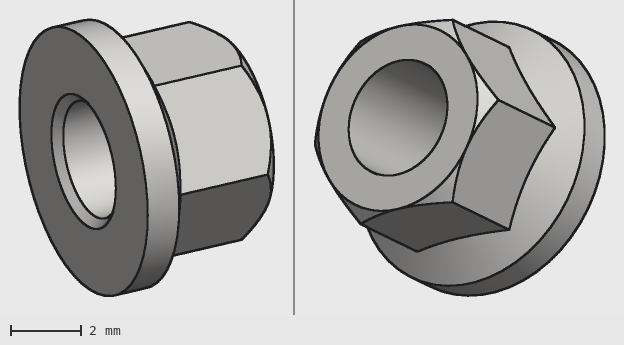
import cadquery as cq
import math

flange_diameter = 7.8
flange_thickness = 1.01
collar_slope = math.radians(30)
height = 4.65
across_flats = 5.5
bore_diameter = 3.42
countersink_diameter = 3.915
crown_slope = math.radians(45)
countersink_slope = math.radians(45)

across_corners = across_flats / math.cos(math.radians(30))
flange_radius = flange_diameter / 2
flat_radius = across_flats / 2
bore_radius = bore_diameter / 2
countersink_radius = countersink_diameter / 2


def revolve_about_y(points):
    """Revolve a closed (radius, Y) profile around the nut axis."""
    profile = cq.Workplane("XY").polyline(points).close()
    return profile.revolve(360, (0, 0, 0), (0, 1, 0))


def make_hexagon():
    """Hexagon with corners on the X axis and a conical crown at the +Y end."""
    prism = cq.Workplane("XZ").polygon(6, across_corners).extrude(-height)
    crown_drop = (flange_radius - flat_radius) * math.tan(crown_slope)
    crown_envelope = revolve_about_y([
        (0, 0),
        (flange_radius, 0),
        (flange_radius, height - crown_drop),
        (flat_radius, height),
        (0, height),
    ])
    return prism.intersect(crown_envelope)


def make_flange():
    """Round flange whose conical collar runs up into the hexagon."""
    collar_rise = (flange_radius - bore_radius) * math.tan(collar_slope)
    collar_top = flange_thickness + collar_rise
    return revolve_about_y([
        (0, 0),
        (flange_radius, 0),
        (flange_radius, flange_thickness),
        (bore_radius, collar_top),
        (0, collar_top),
    ])


def make_bore():
    """Through bore with a countersink at the flange seat."""
    countersink_depth = (countersink_radius - bore_radius) * math.tan(countersink_slope)
    return revolve_about_y([
        (0, 0),
        (countersink_radius, 0),
        (bore_radius, countersink_depth),
        (bore_radius, height),
        (0, height),
    ])


result = make_hexagon().union(make_flange()).cut(make_bore())